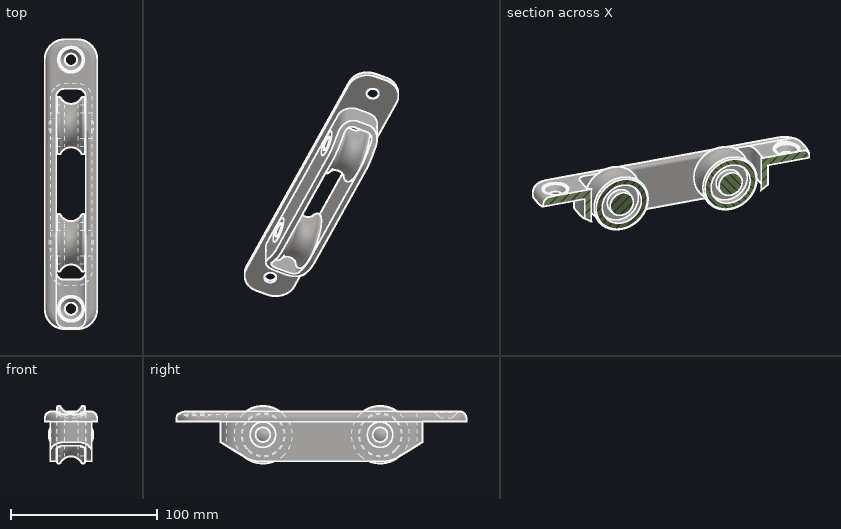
import cadquery as cq
import math

PLATE_LENGTH = 198.0
PLATE_WIDTH = 36.0
PLATE_THICKNESS = 7.0
PLATE_EDGE_RADIUS = 5.0
END_FLAT = 8.0
PLATE_CORNER_RADIUS = (PLATE_WIDTH - END_FLAT) / 2

BOX_LENGTH = 138.0
BOX_WIDTH = 28.4
BOX_DEPTH = 27.2
BOX_CORNER_RADIUS = (BOX_WIDTH - END_FLAT) / 2
BOX_END_HEIGHT = 14.0
BOX_SLOPE = math.radians(32)
BOX_SLOPE_BLEND_RADIUS = 22.0

SLOT_LENGTH = 130.0
SLOT_WIDTH = 20.0
SLOT_CORNER_RADIUS = 5.0

LIP_RADIUS = PLATE_WIDTH / 2 - PLATE_EDGE_RADIUS - SLOT_WIDTH / 2
LIP_HALF_LENGTH = 33.0
LIP_END_RADIUS = 6.5

CHANNEL_DEPTH = 2.0
CHANNEL_SIDE_RADIUS = 9.0

SCREW_Y = PLATE_LENGTH / 2 - PLATE_CORNER_RADIUS
SCREW_HOLE_DIAMETER = 8.2
SCREW_SEAT_MOUTH_DIAMETER = 18.0
SCREW_SEAT_FLOOR_DIAMETER = 17.4
SCREW_SEAT_DEPTH = 0.7
SCREW_CONE_DIAMETER = 15.4

ROLLER_Y = 40.0
ROLLER_Z = -9.0
ROLLER_DIAMETER = 39.5
ROLLER_WIDTH = 19.3
GROOVE_ROOT_RADIUS = 14.9
RIM_RADIUS = 1.4
GROOVE_EDGE_RADIUS = 18.8
RECESS_DIAMETER = 28.4
RECESS_DEPTH = 5.0
AXLE_DIAMETER = 17.4
DOME_DIAMETER = 10.0
DOME_PROJECTION = 1.15
DOME_SEAT_DEPTH = 0.3


def rounded_block(length, width, radius, bottom, top):
    """Block along Y with rounded vertical corners."""
    block = cq.Workplane("XY").workplane(offset=bottom).rect(width, length).extrude(top - bottom)
    return block.edges("|Z").fillet(radius)


def make_plate():
    plate = rounded_block(PLATE_LENGTH, PLATE_WIDTH, PLATE_CORNER_RADIUS, 0, PLATE_THICKNESS)
    return plate.faces(">Z").edges().fillet(PLATE_EDGE_RADIUS)


def make_box():
    """Box under the plate, its ends sloping in towards the bottom."""
    box = rounded_block(BOX_LENGTH, BOX_WIDTH, BOX_CORNER_RADIUS, -BOX_DEPTH, 0)
    end_y = BOX_LENGTH / 2
    bottom_half_length = end_y - (BOX_DEPTH - BOX_END_HEIGHT) / math.tan(BOX_SLOPE)
    side_outline = (
        cq.Workplane("YZ")
        .polyline([
            (-end_y, 0),
            (-end_y, -BOX_END_HEIGHT),
            (-bottom_half_length, -BOX_DEPTH),
            (bottom_half_length, -BOX_DEPTH),
            (end_y, -BOX_END_HEIGHT),
            (end_y, 0),
        ])
        .close()
        .extrude(BOX_WIDTH / 2, both=True)
    )
    side_outline = side_outline.faces("<Z").edges("|X").fillet(BOX_SLOPE_BLEND_RADIUS)
    return box.intersect(side_outline)


def draw_lip_profile(side):
    """Half section of the space above the lip, drawn at the +Y end of its straight stretch."""
    lip_bottom_z = PLATE_THICKNESS - LIP_RADIUS
    diagonal = LIP_RADIUS * math.sin(math.radians(45))
    axis_x = SLOT_WIDTH / 2 + LIP_RADIUS - LIP_END_RADIUS
    return (
        cq.Workplane("XZ", origin=(side * axis_x, LIP_HALF_LENGTH, 0))
        .moveTo(0, lip_bottom_z)
        .lineTo(side * (LIP_END_RADIUS - LIP_RADIUS), lip_bottom_z)
        .threePointArc(
            (side * (LIP_END_RADIUS - diagonal), lip_bottom_z + diagonal),
            (side * LIP_END_RADIUS, PLATE_THICKNESS),
        )
        .lineTo(0, PLATE_THICKNESS)
        .close()
    )


def make_lip_cutter(side):
    """Space above the rounded slot lip on one side, with its section turned round at each end."""
    straight = draw_lip_profile(side).extrude(2 * LIP_HALF_LENGTH)
    turned = draw_lip_profile(side).revolve(360, (0, 0, 0), (0, 1, 0))
    return straight.union(turned).union(turned.translate((0, -2 * LIP_HALF_LENGTH, 0)))


def make_channel_cutter():
    """Flat-bottomed rope channel with arced sides, from the slot out through the -Y end."""
    half_width = SLOT_WIDTH / 2
    floor_z = PLATE_THICKNESS - CHANNEL_DEPTH
    edge_angle = math.acos(1 - CHANNEL_DEPTH / CHANNEL_SIDE_RADIUS)
    half_floor = half_width - CHANNEL_SIDE_RADIUS * math.sin(edge_angle)
    mid_x = half_floor + CHANNEL_SIDE_RADIUS * math.sin(edge_angle / 2)
    mid_z = floor_z + CHANNEL_SIDE_RADIUS * (1 - math.cos(edge_angle / 2))
    return (
        cq.Workplane("XZ", origin=(0, -SLOT_LENGTH / 2 + SLOT_CORNER_RADIUS, 0))
        .moveTo(-half_floor, floor_z)
        .lineTo(half_floor, floor_z)
        .threePointArc((mid_x, mid_z), (half_width, PLATE_THICKNESS))
        .lineTo(-half_width, PLATE_THICKNESS)
        .threePointArc((-mid_x, mid_z), (-half_floor, floor_z))
        .close()
        .extrude(PLATE_LENGTH / 2)
    )


def make_screw_cutter(y, surface_z):
    """Screw hole with a 90 degree countersink and a shallow tapered seat below surface_z."""
    hole_radius = SCREW_HOLE_DIAMETER / 2
    cone_radius = SCREW_CONE_DIAMETER / 2
    mouth_radius = SCREW_SEAT_MOUTH_DIAMETER / 2
    seat_z = surface_z - SCREW_SEAT_DEPTH
    return (
        cq.Workplane("XZ", origin=(0, y, 0))
        .polyline([
            (0, 0),
            (hole_radius, 0),
            (hole_radius, seat_z - (cone_radius - hole_radius)),
            (cone_radius, seat_z),
            (SCREW_SEAT_FLOOR_DIAMETER / 2, seat_z),
            (mouth_radius, surface_z),
            (mouth_radius, surface_z + CHANNEL_DEPTH),
            (0, surface_z + CHANNEL_DEPTH),
        ])
        .close()
        .revolve(360, (0, 0, 0), (0, 1, 0))
    )


def make_housing():
    housing = make_plate().union(make_box())
    housing = housing.cut(
        rounded_block(SLOT_LENGTH, SLOT_WIDTH, SLOT_CORNER_RADIUS, -BOX_DEPTH, PLATE_THICKNESS)
    )
    housing = housing.cut(make_channel_cutter())
    for side in (-1, 1):
        housing = housing.cut(make_lip_cutter(side))
    housing = housing.cut(make_screw_cutter(SCREW_Y, PLATE_THICKNESS))
    housing = housing.cut(make_screw_cutter(-SCREW_Y, PLATE_THICKNESS - CHANNEL_DEPTH))
    for end in (-1, 1):
        axle_hole = (
            cq.Workplane("YZ", origin=(0, end * ROLLER_Y, ROLLER_Z))
            .circle(AXLE_DIAMETER / 2)
            .extrude(BOX_WIDTH / 2, both=True)
        )
        housing = housing.cut(axle_hole)
    return housing


def make_roller(y):
    """Grooved roller and its domed axle, turned about an axis along X."""
    half_width = ROLLER_WIDTH / 2
    axle_radius = AXLE_DIAMETER / 2
    recess_radius = RECESS_DIAMETER / 2
    dome_radius = DOME_DIAMETER / 2
    roller_radius = ROLLER_DIAMETER / 2
    axle_end = BOX_WIDTH / 2
    dome_base = axle_end - DOME_SEAT_DEPTH
    dome_tip = axle_end + DOME_PROJECTION
    dome_height = dome_tip - dome_base
    dome_sphere = (dome_radius**2 + dome_height**2) / (2 * dome_height)
    dome_mid_r = dome_radius / 2
    dome_mid_x = dome_tip - dome_sphere + math.sqrt(dome_sphere**2 - dome_mid_r**2)
    rim_x = half_width - RIM_RADIUS
    rim_centre_radius = roller_radius - RIM_RADIUS
    groove_edge_x = rim_x - math.sqrt(RIM_RADIUS**2 - (GROOVE_EDGE_RADIUS - rim_centre_radius) ** 2)
    recess_x = half_width - RECESS_DEPTH
    profile = (
        cq.Workplane("XY")
        .moveTo(-dome_tip, 0)
        .threePointArc((-dome_mid_x, dome_mid_r), (-dome_base, dome_radius))
        .lineTo(-axle_end, dome_radius)
        .lineTo(-axle_end, axle_radius)
        .lineTo(-recess_x, axle_radius)
        .lineTo(-recess_x, recess_radius)
        .lineTo(-half_width, recess_radius)
        .lineTo(-half_width, rim_centre_radius)
        .threePointArc((-rim_x, roller_radius), (-groove_edge_x, GROOVE_EDGE_RADIUS))
        .threePointArc((0, GROOVE_ROOT_RADIUS), (groove_edge_x, GROOVE_EDGE_RADIUS))
        .threePointArc((rim_x, roller_radius), (half_width, rim_centre_radius))
        .lineTo(half_width, recess_radius)
        .lineTo(recess_x, recess_radius)
        .lineTo(recess_x, axle_radius)
        .lineTo(axle_end, axle_radius)
        .lineTo(axle_end, dome_radius)
        .lineTo(dome_base, dome_radius)
        .threePointArc((dome_mid_x, dome_mid_r), (dome_tip, 0))
        .close()
    )
    return profile.revolve(360, (0, 0, 0), (1, 0, 0)).translate((0, y, ROLLER_Z))


housing = make_housing()
rollers = [make_roller(end * ROLLER_Y) for end in (-1, 1)]

result = cq.Compound.makeCompound([housing.val(), *[roller.val() for roller in rollers]])